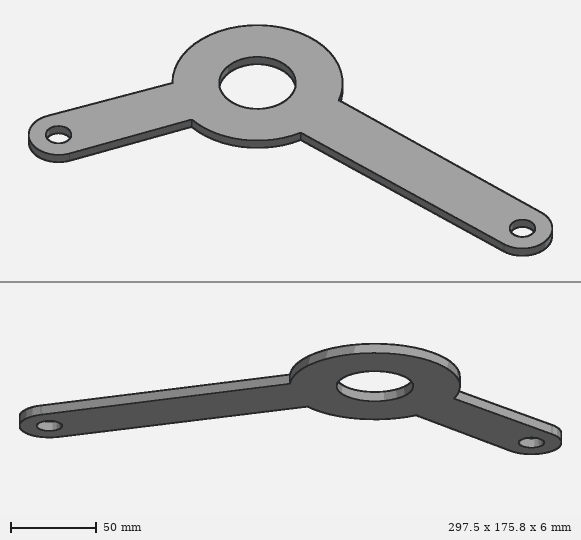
import cadquery as cq

thickness = 6.0
hub_diameter = 100.0
hub_bore = 45.0
arm_end_radius = 17.5
pin_hole = 15.0
long_arm_length = 200.0
short_arm_length = 125.0
short_arm_angle = 240.0

long_arm_root_left = 18.5
long_arm_root_right = 17.5
short_arm_root_left = 15.8
short_arm_root_right = 17.8
root_distance = 46.5


def disc(diameter, x=0.0, y=0.0):
    return cq.Workplane("XY").center(x, y).circle(diameter / 2).extrude(thickness)


def arm(length, angle, root_left, root_right):
    """Arm along +X with a round end and a pin hole, turned about the hub centre.

    Left and right are the sides seen when looking outward from the hub.
    """
    slope_left = (arm_end_radius - root_left) / (length - root_distance)
    slope_right = (arm_end_radius - root_right) / (length - root_distance)
    body = (
        cq.Workplane("XY")
        .moveTo(0, root_left - slope_left * root_distance)
        .lineTo(length, arm_end_radius)
        .threePointArc((length + arm_end_radius, 0), (length, -arm_end_radius))
        .lineTo(0, -root_right + slope_right * root_distance)
        .close()
        .extrude(thickness)
    )
    return body.cut(disc(pin_hole, length)).rotate((0, 0, 0), (0, 0, 1), angle)


hub = disc(hub_diameter)
long_arm = arm(long_arm_length, 0, long_arm_root_left, long_arm_root_right)
short_arm = arm(short_arm_length, short_arm_angle, short_arm_root_left, short_arm_root_right)

result = hub.union(long_arm).union(short_arm).cut(disc(hub_bore))